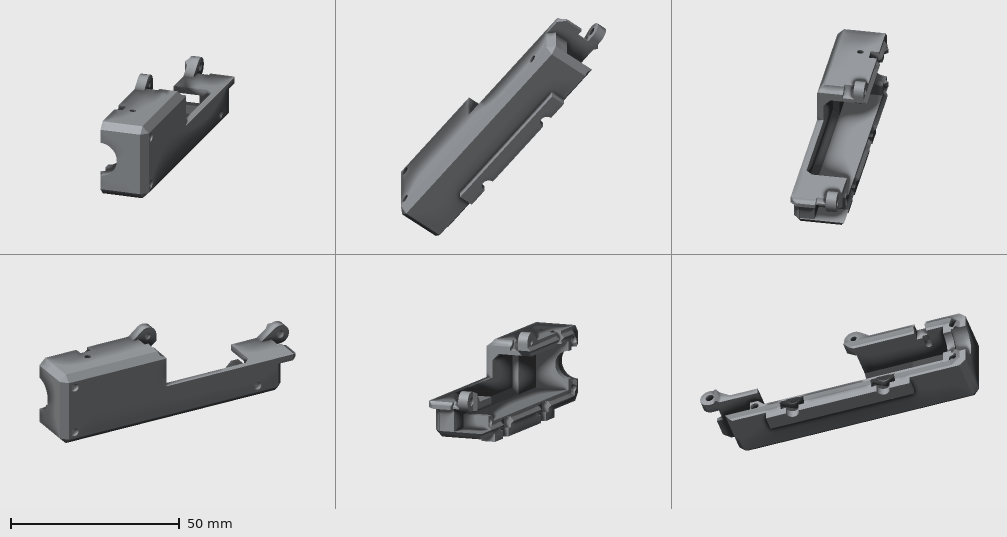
import cadquery as cq
import math


LENGTH = 83.0
BODY_DEPTH = 14.5
BODY_HEIGHT = 22.8
MID_HEIGHT = 11.5
WALL = 2.0
CHAMFER = WALL
UPPER_REAR = 35.0
LOWER_REAR = 74.9

LUG_RADIUS = 3.0
LUG_THICKNESS = 3.1
MATING_LUG_DEPTH = 6.8
SCREW_HEAD_RADIUS = 1.9
LUG_CLEARANCE_REAR = 78.1
LUG_CLEARANCE_RADIUS = 3.1
SHELF_REAR = LENGTH - LUG_RADIUS
SHELF_BOTTOM = MID_HEIGHT - WALL
LOWER_LUG_Z = SHELF_BOTTOM + LUG_RADIUS
UPPER_LUG_Z = 23.0
UPPER_LUG_FRONT_Z = 20.8
LOWER_LUG_FOOT = 73.6
UPPER_LUG_FOOT = 30.1
LOWER_LUG_HOLE = 2.5
UPPER_LUG_HOLE = 1.9

CAVITY_MARGIN = 4.1
CAVITY_TOP = BODY_HEIGHT - CAVITY_MARGIN
CAVITY_FRONT = 7.05
CAVITY_REAR = 65.0
CAVITY_DEPTH = BODY_DEPTH - WALL
STEP_REAR = 20.1
STEP_DEPTH = CAVITY_DEPTH - WALL

SLOT_DEPTH = 8.05
SLOT_FRONT = 67.4
RECESS_FRONT = 74.4
SLOT_SILL = CAVITY_MARGIN + WALL

BORE_RADIUS = 5.15
BORE_DEPTH = 4.65
BORE_INNER_RADIUS = 4.2

RIDGE_HEIGHT = 1.0
RIDGE_INSET = WALL
RIDGE_FRONT = 3.0
RIDGE_CORNER = 1.9
LUG_RIDGE_Y = 77.85

SCREW_HOLE = 2.5
SCREW_INSET = 4.0
REAR_SCREW_Y = 66.0

RAIL_FRONT = 17.6
RAIL_REAR = 62.4
RAIL_DROP = 2.5
RAIL_DEPTH = 4.4
BOLT_HOLE = 4.0
BOLT_TOP = 3.6
BOLT_POSITIONS = (25.8, 54.2)
NUT_WIDTH = 7.4
NUT_HEIGHT = 3.3

NOTCH_FRONT = 12.6
NOTCH_REAR = 16.1
NOTCH_DEPTH = 2.5
PIN_HOLE = 2.0
PIN_X = 5.5
PIN_Y = 13.4
PIN_SLOT_HEIGHT = 1.0


def box(x, y, z):
    """Box from its (low, high) ranges along X, Y and Z."""
    size = (x[1] - x[0], y[1] - y[0], z[1] - z[0])
    return cq.Workplane("XY").box(*size, centered=False).translate((x[0], y[0], z[0]))


def prism(points, x):
    """Polygon of (Y, Z) points extruded over an X range."""
    return cq.Workplane("YZ").polyline(points).close().extrude(x[1] - x[0]).translate((x[0], 0, 0))


def x_cylinder(y, z, radius, x):
    """Cylinder about a (Y, Z) axis parallel to X, over an X range."""
    return cq.Workplane("YZ").center(y, z).circle(radius).extrude(x[1] - x[0]).translate((x[0], 0, 0))


def tangent_point(axis, foot):
    """Upper point where a line from the foot touches the lug circle around the axis."""
    dy = foot[0] - axis[0]
    dz = foot[1] - axis[1]
    distance = math.hypot(dy, dz)
    angle = math.atan2(dz, dy) - math.acos(LUG_RADIUS / distance)
    return axis[0] + LUG_RADIUS * math.cos(angle), axis[1] + LUG_RADIUS * math.sin(angle)


LOWER_AXIS = (SHELF_REAR, LOWER_LUG_Z)
UPPER_AXIS = (UPPER_REAR, UPPER_LUG_Z)


def housing_blank():
    """Solid body: a chamfered block with its upper rear removed and a thin shelf at mid height."""
    block = box((0, BODY_DEPTH), (0, LOWER_REAR), (0, BODY_HEIGHT))
    block = block.faces("not <X").edges("not <X").chamfer(CHAMFER)
    block = block.cut(box((0, BODY_DEPTH), (UPPER_REAR, LOWER_REAR), (MID_HEIGHT, BODY_HEIGHT)))
    shelf = box((0, BODY_DEPTH), (CAVITY_REAR, SHELF_REAR), (SHELF_BOTTOM, MID_HEIGHT))
    return block.union(shelf.edges("|Z and >X and >Y").chamfer(CHAMFER))


def cavity():
    """Main pocket with bevelled floor edges, shallower at its front."""
    height = (CAVITY_MARGIN, CAVITY_TOP)
    pocket = box((0, CAVITY_DEPTH), (CAVITY_FRONT, CAVITY_REAR), height)
    pocket = pocket.edges(">X or (>Y and <Z)").chamfer(WALL)
    step = box((STEP_DEPTH, CAVITY_DEPTH), (CAVITY_FRONT, STEP_REAR), height)
    front = box((0, STEP_DEPTH), (CAVITY_FRONT, STEP_REAR), height)
    return pocket.cut(step).union(front)


def rear_slot():
    """Opening under the shelf, from the cavity out through the rear end."""
    passage = box((0, SLOT_DEPTH), (CAVITY_REAR, SLOT_FRONT), (SLOT_SILL, SHELF_BOTTOM))
    mouth = box((-RIDGE_HEIGHT, SLOT_DEPTH), (SLOT_FRONT, LOWER_REAR), (WALL, SHELF_BOTTOM))
    recess = box((0, BODY_DEPTH - WALL), (RECESS_FRONT, LOWER_REAR), (WALL, SHELF_BOTTOM))
    return passage.union(mouth).union(recess)


def mating_lug_clearances():
    """Round spaces beside each lug: one for the other half's lug, one for the screw head."""
    span = (LUG_THICKNESS, MATING_LUG_DEPTH)
    cutter = box(span, (LUG_CLEARANCE_REAR, SHELF_REAR), (SHELF_BOTTOM, MID_HEIGHT))
    for y, z in (LOWER_AXIS, UPPER_AXIS):
        cutter = cutter.union(x_cylinder(y, z, LUG_CLEARANCE_RADIUS, span))
        cutter = cutter.union(x_cylinder(y, z, SCREW_HEAD_RADIUS, (MATING_LUG_DEPTH, BODY_DEPTH)))
    return cutter


def lug(axis, foot, base_points):
    """Round hinge ear blended into the body by a tangent slope and a straight-sided base."""
    span = (0, LUG_THICKNESS)
    base = prism([tangent_point(axis, foot), foot, *base_points, axis], span)
    return x_cylinder(*axis, LUG_RADIUS, span).union(base)


def lower_lug():
    base = [(LOWER_LUG_FOOT, SHELF_BOTTOM), (SHELF_REAR, SHELF_BOTTOM)]
    return lug(LOWER_AXIS, (LOWER_LUG_FOOT, MID_HEIGHT), base)


def upper_lug():
    lug_end = UPPER_REAR + LUG_RADIUS
    base = [
        (UPPER_LUG_FOOT, CAVITY_TOP),
        (UPPER_REAR, CAVITY_TOP),
        (lug_end, UPPER_LUG_FRONT_Z),
        (lug_end, UPPER_LUG_Z),
    ]
    return lug(UPPER_AXIS, (UPPER_LUG_FOOT, BODY_HEIGHT), base)


def ridge_along(points):
    """Triangular ridge on the split face whose crest follows the (Y, Z) points."""
    path = cq.Workplane("YZ").polyline(points)
    profile = (
        cq.Workplane("XZ", origin=(0, points[0][0], points[0][1]))
        .polyline([(-RIDGE_HEIGHT, 0), (0, RIDGE_HEIGHT), (0, -RIDGE_HEIGHT)])
        .close()
    )
    return profile.sweep(path, transition="right")


def sealing_ridge():
    """Ridge round the closed sides, trimmed to the outline at the upper lug and the lower rear corner."""
    low = RIDGE_INSET
    high = BODY_HEIGHT - RIDGE_INSET
    lug_end = UPPER_REAR + LUG_RADIUS
    ridge = ridge_along(
        [
            (LOWER_REAR, low),
            (RIDGE_FRONT + RIDGE_CORNER, low),
            (RIDGE_FRONT, low + RIDGE_CORNER),
            (RIDGE_FRONT, high - RIDGE_CORNER),
            (RIDGE_FRONT + RIDGE_CORNER, high),
            (lug_end, high),
        ]
    )
    below_lug = [(UPPER_REAR, CAVITY_TOP), (lug_end, CAVITY_TOP), (lug_end, UPPER_LUG_FRONT_Z)]
    rear_corner = [(LOWER_REAR - CHAMFER, 0), (LOWER_REAR, 0), (LOWER_REAR, CHAMFER)]
    for outside in (below_lug, rear_corner):
        ridge = ridge.cut(prism(outside, (-RIDGE_HEIGHT, 0)))
    return ridge


def lug_ridge():
    """Upright ridge across the lower lug, trimmed to the lug's outline."""
    y = LUG_RIDGE_Y
    top = LOWER_LUG_Z + LUG_RADIUS
    section = [(-RIDGE_HEIGHT, y), (0, y + RIDGE_HEIGHT), (0, y - RIDGE_HEIGHT)]
    ridge = cq.Workplane("XY").polyline(section).close().extrude(top - SHELF_BOTTOM)
    outline = lower_lug().translate((-LUG_THICKNESS, 0, 0))
    return ridge.translate((0, 0, SHELF_BOTTOM)).intersect(outline)


def front_bore():
    bore = cq.Workplane("XZ").center(0, MID_HEIGHT).circle(BORE_RADIUS).extrude(-BORE_DEPTH)
    inner = cq.Workplane("XZ").center(0, MID_HEIGHT).circle(BORE_INNER_RADIUS).extrude(-CAVITY_FRONT)
    return bore.union(inner)


def screw_holes():
    span = (-RIDGE_HEIGHT, BODY_DEPTH)
    high = BODY_HEIGHT - SCREW_INSET
    cutter = x_cylinder(REAR_SCREW_Y, SCREW_INSET, SCREW_HOLE / 2, span)
    for z in (SCREW_INSET, high):
        cutter = cutter.union(x_cylinder(SCREW_INSET, z, SCREW_HOLE / 2, span))
    cutter = cutter.union(x_cylinder(*LOWER_AXIS, LOWER_LUG_HOLE / 2, span))
    return cutter.union(x_cylinder(*UPPER_AXIS, UPPER_LUG_HOLE / 2, span))


def bolt_seats():
    """Half of each vertical bolt hole with its hexagonal nut pocket, open at the split face."""
    seats = cq.Workplane("XY")
    corner_width = NUT_WIDTH / math.cos(math.pi / 6)
    for y in BOLT_POSITIONS:
        nut = cq.Workplane("XY").center(0, y).polygon(6, corner_width).extrude(NUT_HEIGHT)
        bolt = cq.Workplane("XY", origin=(0, y, -RAIL_DROP)).circle(BOLT_HOLE / 2)
        seats = seats.add(nut.union(bolt.extrude(BOLT_TOP + RAIL_DROP)))
    return seats.combine()


def top_openings():
    """Notch at the split face, and a pin hole reached by a shallow slot in the cavity roof."""
    notch = box((-RIDGE_HEIGHT, NOTCH_DEPTH), (NOTCH_FRONT, NOTCH_REAR), (CAVITY_TOP, BODY_HEIGHT))
    pin = cq.Workplane("XY", origin=(PIN_X, PIN_Y, CAVITY_TOP)).circle(PIN_HOLE / 2)
    pin = pin.extrude(BODY_HEIGHT - CAVITY_TOP)
    half = PIN_HOLE / 2
    slot = box((0, PIN_X), (PIN_Y - half, PIN_Y + half), (CAVITY_TOP, CAVITY_TOP + PIN_SLOT_HEIGHT))
    return notch.union(pin).union(slot)


rail = box((0, RAIL_DEPTH), (RAIL_FRONT, RAIL_REAR), (-RAIL_DROP, WALL))
result = housing_blank().cut(mating_lug_clearances())
result = result.union(rail).union(lower_lug()).union(upper_lug())
result = result.cut(cavity())
result = result.union(sealing_ridge()).union(lug_ridge())
for cutter in (rear_slot(), front_bore(), screw_holes(), bolt_seats(), top_openings()):
    result = result.cut(cutter)